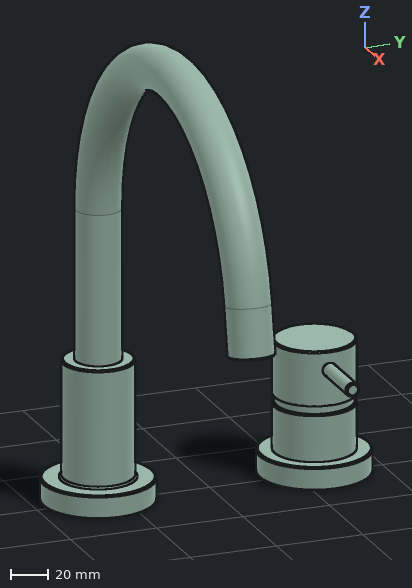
import cadquery as cq
import math

flange_diameter = 63.0
flange_height = 13.0
edge_chamfer = 1.0
mixer_spacing = 125.0

collar_diameter = 40.0
collar_top = 80.5
foot_width = 1.2
pipe_diameter = 26.0
total_height = 293
bend_radius = 112.8
bend_angle = 170
outlet_length = 28.5

mixer_diameter = 46.0
base_top = 40.0
neck_diameter = 43.7
knob_bottom = 44.8
knob_top = 76.2
lever_diameter = 8.0
lever_height = 65.3
lever_reach = 57.7


def cylinder(diameter, bottom, top):
    """Vertical cylinder about the Z axis."""
    return cq.Workplane("XY").workplane(offset=bottom).circle(diameter / 2).extrude(top - bottom)


def chamfered_cylinder(diameter, bottom, top):
    """Vertical cylinder with a small chamfer around its top edge."""
    return cylinder(diameter, bottom, top).faces(">Z").edges().chamfer(edge_chamfer)


def make_pipe():
    """Gooseneck: a riser, a circular bend and a straight tangent outlet."""
    bend_height = total_height - pipe_diameter / 2 - bend_radius
    end_angle = math.radians(180 - bend_angle)
    bend_end_x = bend_radius * (1 + math.cos(end_angle))
    bend_end_z = bend_height + bend_radius * math.sin(end_angle)
    direction = cq.Vector(math.sin(end_angle), 0, -math.cos(end_angle))
    bend_end = cq.Vector(bend_end_x, 0, bend_end_z)

    riser = cylinder(pipe_diameter, collar_top, bend_height)
    bend = (
        cq.Workplane("XY")
        .workplane(offset=bend_height)
        .circle(pipe_diameter / 2)
        .revolve(bend_angle, (bend_radius, 0), (bend_radius, 1))
    )
    outlet = (
        cq.Workplane(cq.Plane(bend_end, (0, 1, 0), direction))
        .circle(pipe_diameter / 2)
        .extrude(outlet_length)
        .faces("<Z")
        .edges()
        .chamfer(edge_chamfer)
    )
    return riser.union(bend).union(outlet)


def make_spout():
    """Flange, collar with a tapered foot, and gooseneck pipe."""
    flange = chamfered_cylinder(flange_diameter, 0, flange_height)
    collar = chamfered_cylinder(collar_diameter, flange_height, collar_top)
    foot = cq.Workplane(
        cq.Solid.makeCone(
            collar_diameter / 2 + foot_width,
            collar_diameter / 2,
            foot_width,
            cq.Vector(0, 0, flange_height),
        )
    )
    return flange.union(collar).union(foot).union(make_pipe())


def make_mixer_base():
    """Flange and body with a narrower neck that carries the knob."""
    flange = chamfered_cylinder(flange_diameter, 0, flange_height)
    body = chamfered_cylinder(mixer_diameter, flange_height, base_top)
    neck = cylinder(neck_diameter, base_top, knob_bottom)
    return flange.union(body).union(neck).translate((0, mixer_spacing, 0))


def make_mixer_knob():
    """Round knob with a lever rod pointing along +X."""
    knob = chamfered_cylinder(mixer_diameter, knob_bottom, knob_top)
    lever = (
        cq.Workplane("YZ")
        .center(0, lever_height)
        .circle(lever_diameter / 2)
        .extrude(lever_reach)
        .faces(">X")
        .edges()
        .chamfer(edge_chamfer)
    )
    return knob.union(lever).translate((0, mixer_spacing, 0))


spout = make_spout()
mixer_base = make_mixer_base()
mixer_knob = make_mixer_knob()

result = cq.Compound.makeCompound([spout.val(), mixer_base.val(), mixer_knob.val()])